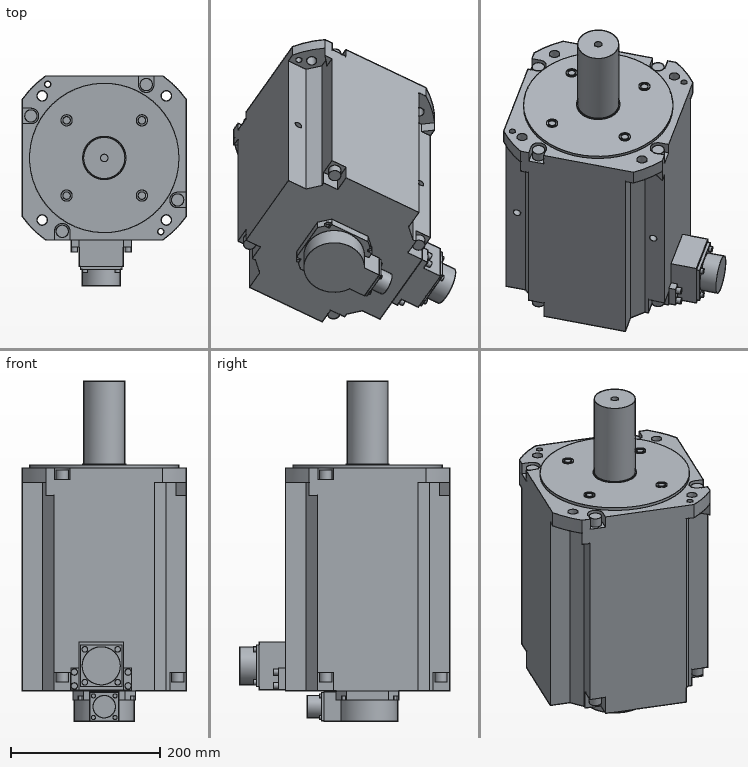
import math

import cadquery as cq


SIDE = 220.0
HALF = SIDE / 2
FLANGE_THICKNESS = 20.0
CORNER_RADIUS = 135.0
CORNER_OFFSET = math.sqrt(CORNER_RADIUS**2 - HALF**2)
PILOT_DIAMETER = 200.0
PILOT_HEIGHT = 4.0
MOUNTING_CIRCLE = 235.0
MOUNTING_HOLE = 13.5
JACK_HOLE = 8.0
JACK_HOLE_POSITION = (-75.7, 98.6)
TAB_DROP = 17.0
TAB_DEPTH = 14.0

PILOT_SCREW_CIRCLE = 142.5
PILOT_SCREW_BORE = 15.0
PILOT_SCREW_HEAD = 10.0
PILOT_SCREW_BORE_DEPTH = 1.0

SHAFT_DIAMETER = 55.0
SHAFT_TOP = 116.0
MOTOR_LENGTH = 455.5
COLLAR_DIAMETER = 58.0
COLLAR_HEIGHT = 1.0
CENTER_HOLE = 10.0
CENTER_HOLE_DEPTH = 25.0

BODY_BOTTOM = -298.5
NOTCH_OUTER = 67.3
NOTCH_INNER = 82.7
SIDE_HOLE = 10.0
SIDE_HOLE_DEPTH = 12.0
SIDE_HOLE_Y = 94.5
SIDE_HOLE_Z = -158.0

SCREW_OFFSET = 56.2
SCREW_REACH = 98.2
SCREW_HEAD = 16.5
SCREW_HEAD_HEIGHT = 12.5
SLOT_WIDTH = 20.7
SLOT_DEPTH = 15.5
RECESS_DEPTH = 24.5
RECESS_INNER = 87.7
RECESS_SIDE = 45.5

ENCODER_BOTTOM = SHAFT_TOP - MOTOR_LENGTH
ENCODER_PLATE_SIDE = 84.0
ENCODER_PLATE_THICKNESS = 12.5
ENCODER_PLATE_CHAMFER = 14.0
ENCODER_DIAMETER = 81.0
POCKET_HEIGHT = 5.5
POCKET_WIDTH = 7.0
ENCODER_SCREW_HEAD = 4.5
ENCODER_SCREW_POSITION = (-32.0, -37.3)

POWER_X = -4.0
POWER_BOX_WIDTH = 59.0
POWER_BOX_BOTTOM = BODY_BOTTOM + 1.3
POWER_BOX_HEIGHT = 64.3
POWER_BOX_FACE = 145.0
POWER_PLATE_SIDE = 56.0
POWER_PLATE_FACE = 149.0
POWER_PLUG_DIAMETER = 51.0
POWER_PLUG_FACE = 171.1
POWER_SCREW_SPACING = 44.0
POWER_SCREW_HEAD = 7.5
POWER_SCREW_HEIGHT = 4.0
EAR_SPAN = 81.0
EAR_HEIGHT = 29.0
EAR_THICKNESS = 9.2
EAR_SCREW_HEAD = 8.5
EAR_SCREW_HEIGHT = 6.8
EAR_SCREW_SPACING_X = 72.0
EAR_SCREW_SPACING_Z = 18.5

SIGNAL_BOX_WIDTH = 39.5
SIGNAL_BOX_TOP = BODY_BOTTOM - 1.5
SIGNAL_BOX_BACK = 20.0
SIGNAL_BOX_FACE = 58.5
SIGNAL_PLATE_SIDE = 38.0
SIGNAL_PLATE_FACE = 61.7
SIGNAL_PLUG_DIAMETER = 30.0
SIGNAL_PLUG_FACE = 81.0
SIGNAL_SCREW_SPACING = 29.0
SIGNAL_SCREW_HEAD = 5.5
SIGNAL_SCREW_HEIGHT = 2.7


def cylinder(diameter, bottom, top, x=0.0, y=0.0):
    """Cylinder along Z."""
    return cq.Workplane("XY", origin=(x, y, bottom)).circle(diameter / 2).extrude(top - bottom)


def forward_cylinder(diameter, x, z, back, front):
    """Cylinder along -Y, from y = -back to y = -front."""
    return cq.Workplane("XZ", origin=(x, -back, z)).circle(diameter / 2).extrude(front - back)


def block(x_range, y_range, z_range):
    """Box given by its limits along each axis."""
    size = [high - low for low, high in (x_range, y_range, z_range)]
    return cq.Workplane("XY").box(*size, centered=False).translate((x_range[0], y_range[0], z_range[0]))


def add_quarter_turns(part, feature):
    """Join four copies of a feature, turned about the shaft axis."""
    for turn in range(4):
        part = part.union(feature.rotate((0, 0, 0), (0, 0, 1), 90 * turn))
    return part


def cut_quarter_turns(part, feature):
    """Remove four copies of a feature, turned about the shaft axis."""
    for turn in range(4):
        part = part.cut(feature.rotate((0, 0, 0), (0, 0, 1), 90 * turn))
    return part


def make_body():
    """Square column with a stepped, slanted notch along each corner."""
    quarter = [
        (NOTCH_OUTER, -HALF),
        (NOTCH_OUTER, -NOTCH_INNER),
        (NOTCH_INNER, -NOTCH_OUTER),
        (HALF, -NOTCH_OUTER),
    ]
    outline = []
    for _ in range(4):
        outline += quarter
        quarter = [(-y, x) for x, y in quarter]
    body = cq.Workplane("XY", origin=(0, 0, BODY_BOTTOM)).polyline(outline).close().extrude(-BODY_BOTTOM)
    for y in (-SIDE_HOLE_Y, SIDE_HOLE_Y):
        hole = cq.Workplane("YZ", origin=(-NOTCH_OUTER, y, SIDE_HOLE_Z)).circle(SIDE_HOLE / 2)
        body = body.cut(hole.extrude(SIDE_HOLE_DEPTH))
    return body


def make_flange():
    """Square plate with arc corners, a tab under each side and the pilot on top."""
    square = cq.Workplane("XY", origin=(0, 0, -FLANGE_THICKNESS)).rect(SIDE, SIDE).extrude(FLANGE_THICKNESS)
    flange = square.intersect(cylinder(2 * CORNER_RADIUS, -FLANGE_THICKNESS, 0))
    tab = (
        cq.Workplane("XY", origin=(0, 0, -FLANGE_THICKNESS - TAB_DROP))
        .moveTo(-CORNER_OFFSET, -HALF)
        .lineTo(-NOTCH_OUTER, -HALF)
        .lineTo(-NOTCH_OUTER, -HALF + TAB_DEPTH)
        .close()
        .extrude(TAB_DROP)
    )
    flange = add_quarter_turns(flange, tab)
    return flange.union(cylinder(PILOT_DIAMETER, 0, PILOT_HEIGHT))


def cut_flange_holes(part):
    """Four mounting holes and two diagonally opposite jack holes, all through the flange."""
    mounting = MOUNTING_CIRCLE / 2 * math.sqrt(0.5)
    part = cut_quarter_turns(part, cylinder(MOUNTING_HOLE, -FLANGE_THICKNESS, 0, mounting, mounting))
    x, y = JACK_HOLE_POSITION
    for sign in (1, -1):
        part = part.cut(cylinder(JACK_HOLE, -FLANGE_THICKNESS, 0, sign * x, sign * y))
    return part


def add_pilot_screws(part):
    """Four screw heads, flush with the pilot face, each in a wider bore."""
    offset = PILOT_SCREW_CIRCLE / 2 * math.sqrt(0.5)
    floor = PILOT_HEIGHT - PILOT_SCREW_BORE_DEPTH
    bore = cylinder(PILOT_SCREW_BORE, floor, PILOT_HEIGHT, offset, offset)
    head = cylinder(PILOT_SCREW_HEAD, floor, PILOT_HEIGHT, offset, offset)
    return cut_quarter_turns(part, bore.cut(head))


def add_body_screws(part):
    """Screw heads in round-ended slots of the flange and in square recesses of the body bottom."""
    half_width = SLOT_WIDTH / 2
    slot_x = (-SCREW_OFFSET - half_width, -SCREW_OFFSET + half_width)
    round_end_y = -RECESS_INNER - half_width
    slot = block(slot_x, (-HALF, round_end_y), (-SLOT_DEPTH, 0))
    slot = slot.union(cylinder(SLOT_WIDTH, -SLOT_DEPTH, 0, -SCREW_OFFSET, round_end_y))
    part = cut_quarter_turns(part, slot)

    recess_top = BODY_BOTTOM + RECESS_DEPTH
    recess_x = (-NOTCH_OUTER, -RECESS_SIDE)
    recess = block(recess_x, (-HALF, -RECESS_INNER), (BODY_BOTTOM, recess_top))
    part = cut_quarter_turns(part, recess)

    head_x, head_y = -SCREW_OFFSET, -SCREW_REACH
    for bottom in (-SLOT_DEPTH, recess_top - SCREW_HEAD_HEIGHT):
        head = cylinder(SCREW_HEAD, bottom, bottom + SCREW_HEAD_HEIGHT, head_x, head_y)
        part = add_quarter_turns(part, head)
    return part


def add_shaft(part):
    """Plain shaft with a low collar at its root and a blind center hole."""
    part = part.union(cylinder(COLLAR_DIAMETER, PILOT_HEIGHT, PILOT_HEIGHT + COLLAR_HEIGHT))
    part = part.union(cylinder(SHAFT_DIAMETER, PILOT_HEIGHT, SHAFT_TOP))
    return part.cut(cylinder(CENTER_HOLE, SHAFT_TOP - CENTER_HOLE_DEPTH, SHAFT_TOP))


def make_encoder():
    """Chamfered plate with corner screw pockets above a round housing."""
    plate_bottom = BODY_BOTTOM - ENCODER_PLATE_THICKNESS
    half = ENCODER_PLATE_SIDE / 2
    plate = block((-half, half), (-half, half), (plate_bottom, BODY_BOTTOM))
    plate = plate.edges("|Z").chamfer(ENCODER_PLATE_CHAMFER)

    pocket_side = -half + ENCODER_PLATE_CHAMFER
    pocket_end = -half + POCKET_WIDTH
    pocket_z = (plate_bottom, plate_bottom + POCKET_HEIGHT)
    pocket = block((pocket_side - POCKET_WIDTH, pocket_side), (-half, pocket_end), pocket_z)
    encoder = cut_quarter_turns(plate, pocket)
    encoder = add_quarter_turns(encoder, cylinder(ENCODER_SCREW_HEAD, *pocket_z, *ENCODER_SCREW_POSITION))
    return encoder.union(cylinder(ENCODER_DIAMETER, ENCODER_BOTTOM, BODY_BOTTOM))


def add_forward_screws(part, center, spacing, diameter, back, height):
    """Four round screw heads in a rectangle on a face that looks toward -Y."""
    for side in (-0.5, 0.5):
        for level in (-0.5, 0.5):
            x = center[0] + side * spacing[0]
            z = center[1] + level * spacing[1]
            part = part.union(forward_cylinder(diameter, x, z, back, back + height))
    return part


def make_plug(center, plate_side, plate_back, plate_face, diameter, plug_face):
    """Square plate carrying a round plug that points toward -Y."""
    plate = cq.Workplane("XZ", origin=(center[0], -plate_back, center[1]))
    plate = plate.rect(plate_side, plate_side).extrude(plate_face - plate_back)
    return plate.union(forward_cylinder(diameter, *center, plate_face, plug_face))


def make_power_connector():
    """Connector box on the -Y side of the body, held by an ear on each side."""
    half_box = POWER_BOX_WIDTH / 2
    box_z = (POWER_BOX_BOTTOM, POWER_BOX_BOTTOM + POWER_BOX_HEIGHT)
    connector = block((POWER_X - half_box, POWER_X + half_box), (-POWER_BOX_FACE, -HALF), box_z)

    ear_face = HALF + EAR_THICKNESS
    ear_x = (POWER_X - EAR_SPAN / 2, POWER_X + EAR_SPAN / 2)
    ear_z = (POWER_BOX_BOTTOM, POWER_BOX_BOTTOM + EAR_HEIGHT)
    connector = connector.union(block(ear_x, (-ear_face, -HALF), ear_z))
    ear_center = (POWER_X, POWER_BOX_BOTTOM + EAR_HEIGHT / 2)
    ear_spacing = (EAR_SCREW_SPACING_X, EAR_SCREW_SPACING_Z)
    connector = add_forward_screws(
        connector, ear_center, ear_spacing, EAR_SCREW_HEAD, ear_face, EAR_SCREW_HEIGHT
    )

    center = (POWER_X, POWER_BOX_BOTTOM + POWER_BOX_HEIGHT / 2)
    plug = make_plug(
        center, POWER_PLATE_SIDE, POWER_BOX_FACE, POWER_PLATE_FACE, POWER_PLUG_DIAMETER, POWER_PLUG_FACE
    )
    spacing = (POWER_SCREW_SPACING, POWER_SCREW_SPACING)
    plug = add_forward_screws(plug, center, spacing, POWER_SCREW_HEAD, POWER_PLATE_FACE, POWER_SCREW_HEIGHT)
    return connector.union(plug)


def make_signal_connector():
    """Connector box on the -Y side of the encoder."""
    half_box = SIGNAL_BOX_WIDTH / 2
    box_y = (-SIGNAL_BOX_FACE, -SIGNAL_BOX_BACK)
    connector = block((-half_box, half_box), box_y, (ENCODER_BOTTOM, SIGNAL_BOX_TOP))
    center = (0.0, (ENCODER_BOTTOM + SIGNAL_BOX_TOP) / 2)
    plug = make_plug(
        center, SIGNAL_PLATE_SIDE, SIGNAL_BOX_FACE, SIGNAL_PLATE_FACE, SIGNAL_PLUG_DIAMETER, SIGNAL_PLUG_FACE
    )
    spacing = (SIGNAL_SCREW_SPACING, SIGNAL_SCREW_SPACING)
    plug = add_forward_screws(
        plug, center, spacing, SIGNAL_SCREW_HEAD, SIGNAL_PLATE_FACE, SIGNAL_SCREW_HEIGHT
    )
    return connector.union(plug)


motor = make_body().union(make_flange())
motor = cut_flange_holes(motor)
motor = add_pilot_screws(motor)
motor = add_body_screws(motor)
motor = add_shaft(motor)
motor = motor.union(make_encoder())
motor = motor.union(make_power_connector())
result = motor.union(make_signal_connector())